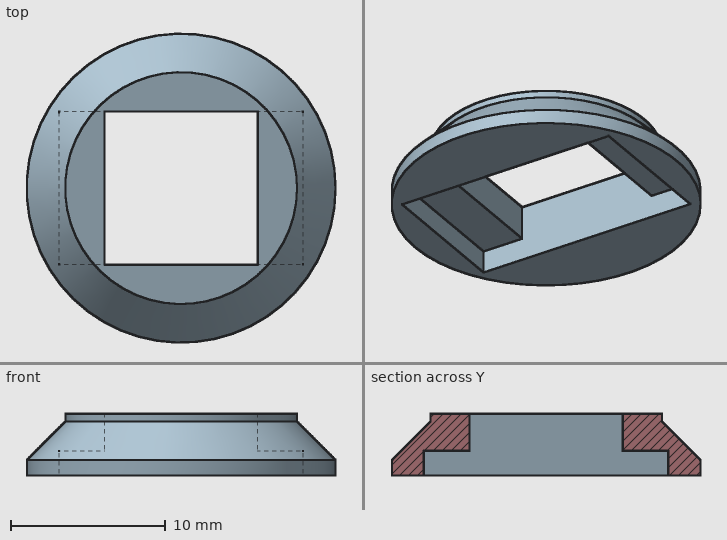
import cadquery as cq

base_diameter = 20.0
top_diameter = 15.0
total_height = 4.0
base_rim_height = 1.0
top_rim_height = 0.5
square_side = 9.9
recess_length = 15.8
recess_depth = 1.6

base_radius = base_diameter / 2
top_radius = top_diameter / 2
cone_top = total_height - top_rim_height


def flanged_body():
    """Revolve the stepped conical profile about Z, with its base on Z = 0."""
    return (
        cq.Workplane("XZ")
        .moveTo(0, 0)
        .lineTo(base_radius, 0)
        .lineTo(base_radius, base_rim_height)
        .lineTo(top_radius, cone_top)
        .lineTo(top_radius, total_height)
        .lineTo(0, total_height)
        .close()
        .revolve(360, (0, 0), (0, 1))
    )


def square_opening():
    """Square hole through the full height."""
    return cq.Workplane("XY").rect(square_side, square_side).extrude(total_height)


def underside_recess():
    """Recess in the base that widens the opening along X, leaving very thin walls at its corners."""
    return cq.Workplane("XY").rect(recess_length, square_side).extrude(recess_depth)


result = flanged_body().cut(square_opening()).cut(underside_recess())